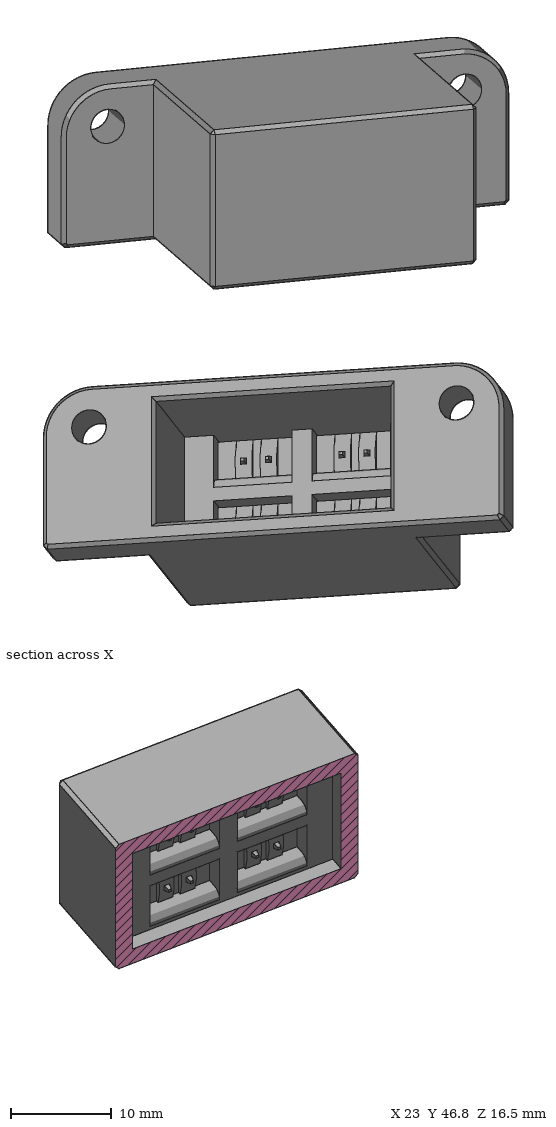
import cadquery as cq
import math


total_depth = 23.0
flange_length = 46.8
height = 16.5
flange_thickness = 4.95
flange_corner_radius = 5.0
edge_chamfer = 0.4
box_width = 27.8
wall = 1.95

hole_diameter = 3.5
hole_spacing = 37.35
hole_below_top = 4.25

cavity_depth = 13.1
cavity_width = box_width - 2 * wall
cavity_height = height - 2 * wall
cavity_top = height - wall

pocket_width = 7.95
pocket_height = 5.4
pocket_depth = total_depth - cavity_depth - wall
column_pitch = 10.0
row_pitch = 6.8
upper_pocket_bottom = cavity_top - pocket_height

top_clearance = 0.15
connector_height = pocket_height - top_clearance
ledge_height = 1.05
face_recess = 1.95
ridge_width = 1.7
ridge_pitch = 2.55
crest_bottom = 2.4
crest_top = 3.45
upper_slope = 18.0
lower_slope = 12.0
pin_size = 0.6
pin_tip_size = 0.35
pin_length = 0.6

crest_rise = (connector_height - crest_top) * math.tan(math.radians(upper_slope))
foot_rise = crest_rise - (crest_bottom - ledge_height) * math.tan(math.radians(lower_slope))
crest_x = face_recess - crest_rise


def make_flange():
    """Flange plate with rounded upper corners and chamfered edges."""
    plate = cq.Workplane("XY").box(flange_thickness, flange_length, height, centered=(False, True, False))
    plate = plate.edges("|X and >Z").fillet(flange_corner_radius)
    plate = plate.edges("|X and <Z").chamfer(edge_chamfer)
    return plate.faces("<X or >X").edges().chamfer(edge_chamfer)


def make_box():
    """Solid box that starts at the middle of the flange and fills its full height."""
    start = flange_thickness / 2
    block = (
        cq.Workplane("XY")
        .box(total_depth - start, box_width, height, centered=(False, True, False))
        .translate((start, 0, 0))
    )
    return block.edges("|X or >X").chamfer(edge_chamfer)


def make_cavity():
    """Cavity volume with a chamfered mouth."""
    cavity = (
        cq.Workplane("XY")
        .box(cavity_depth, cavity_width, cavity_height, centered=(False, True, False))
        .translate((0, 0, wall))
    )
    mouth = (
        cq.Workplane("YZ", origin=(0, 0, wall + cavity_height / 2))
        .rect(cavity_width + 2 * edge_chamfer, cavity_height + 2 * edge_chamfer)
        .workplane(offset=edge_chamfer)
        .rect(cavity_width, cavity_height)
        .loft()
    )
    return cavity.union(mouth)


def make_screw_holes():
    """Two cylinders along X, one near each upper corner of the flange."""
    return (
        cq.Workplane("YZ")
        .pushPoints([(side * hole_spacing / 2, height - hole_below_top) for side in (-1, 1)])
        .circle(hole_diameter / 2)
        .extrude(flange_thickness)
    )


def make_housing(places):
    """Housing with its cavity, its screw holes and one pocket at each place."""
    body = make_flange().union(make_box()).cut(make_cavity()).cut(make_screw_holes())
    pocket = cq.Workplane("XY").box(pocket_depth, pocket_width, pocket_height, centered=(False, True, False))
    for place in places:
        body = body.cut(pocket.translate(place))
    return body


def make_ridge():
    """Ridge on the connector face, with a flat crest between two slopes."""
    return (
        cq.Workplane("XZ")
        .moveTo(face_recess, connector_height)
        .lineTo(crest_x, crest_top)
        .lineTo(crest_x, crest_bottom)
        .lineTo(face_recess - foot_rise, ledge_height)
        .lineTo(face_recess, ledge_height)
        .close()
        .extrude(ridge_width / 2, both=True)
    )


def make_pin():
    """Tapered square pin that stands out from the ridge crest."""
    return (
        cq.Workplane("YZ", origin=(crest_x, 0, (crest_bottom + crest_top) / 2))
        .rect(pin_size, pin_size)
        .workplane(offset=-pin_length)
        .rect(pin_tip_size, pin_tip_size)
        .loft()
    )


def make_connector():
    """Connector with the bottom of its ledge's front face at the origin."""
    body = (
        cq.Workplane("XZ")
        .radiusArc((ledge_height, ledge_height), ledge_height)
        .lineTo(face_recess, ledge_height)
        .lineTo(face_recess, connector_height)
        .lineTo(pocket_depth, connector_height)
        .lineTo(pocket_depth, 0)
        .close()
        .extrude(pocket_width / 2, both=True)
    )
    contact = make_ridge().union(make_pin())
    for side in (-1, 1):
        body = body.union(contact.translate((0, side * ridge_pitch / 2, 0)))
    return body


connector_places = [
    (cavity_depth, side * column_pitch / 2, upper_pocket_bottom - row * row_pitch)
    for side in (-1, 1)
    for row in (0, 1)
]

housing = make_housing(connector_places)
connector = make_connector()
connectors = [connector.translate(place) for place in connector_places]

result = cq.Compound.makeCompound([housing.val(), *[body.val() for body in connectors]])